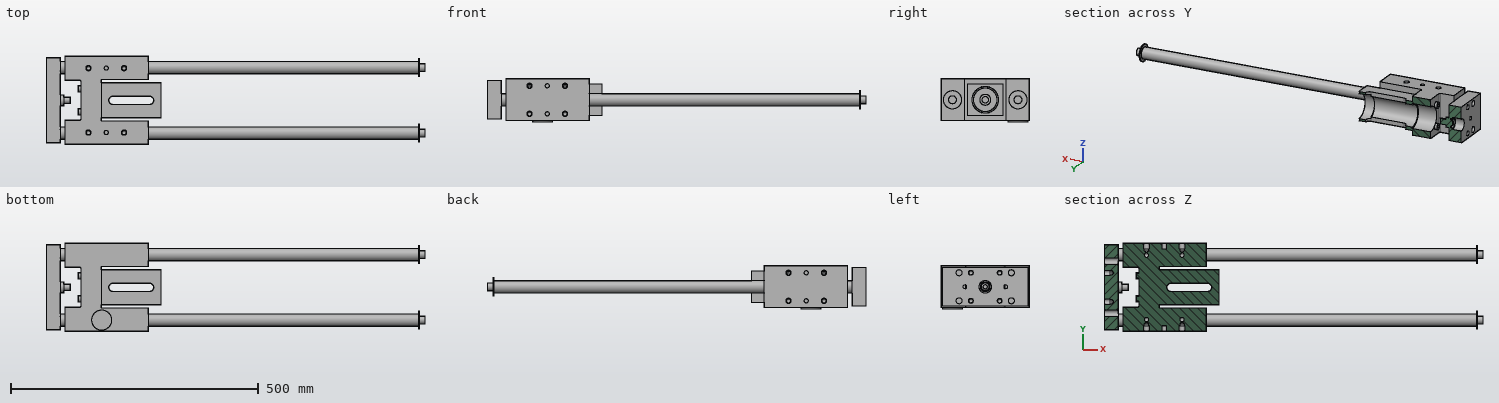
import cadquery as cq

total_length = 764.0

plate_thickness = 28.0
plate_width = 172.0
plate_height = 78.0
plate_hole_height = 28.0
clearance_diameter = 12.0
clearance_offset = 53.0
tapped_offset = 29.0
tapped_mouth = 10.0
tapped_mouth_depth = 11.5
tapped_diameter = 8.5
tapped_depth = 15.0
dowel_diameter = 8.0
dowel_offset = 41.0

counterbore_diameter = 25.0
counterbore_depth = 20.0
stud_recess_diameter = 20.0
stud_recess_depth = 4.5
stud_head_diameter = 16.0
stud_head_chamfer = 4.0
stud_diameter = 13.0
collar_diameter = 22.0
collar_length = 7.0
stud_length = 20.0

rod_diameter = 25.0
rod_spacing = 132.0
rod_tip_diameter = 16.0
rod_tip_length = 11.5
washer_diameter = 37.0
washer_thickness = 2.0

housing_start = 37.5
housing_length = 168.0
housing_width = 178.0
housing_top = 43.0
housing_bottom = -42.0
web_start = 69.5
web_end = 111.0
front_notch_width = 80.0
rear_notch_width = 83.0
notch_fillet = 2.0
bore_diameter = 53.5

hole_pitch = 36.0
hole_row_center = 121.0
top_row_spacing = 130.0
side_row_spacing = 56.5
thread_diameter = 11.0
thread_core_diameter = 8.5
thread_depth = 11.5
core_depth = 15.0
pin_hole_diameter = 8.5
pin_hole_depth = 11.5

tongue_end = 231.5
tongue_width = 71.0
tongue_height = 64.0
slot_center = 171.0
slot_length = 90.0
slot_width = 16.0
tongue_bore_diameter = 47.0
tongue_counterbore_depth = 23.0

screw_spacing = 46.5
screw_head_diameter = 13.0
screw_head_height = 5.0
socket_diameter = 6.0
socket_depth = 4.0

pad_diameter = 40.5
pad_height = 3.0
pad_center_x = 111.5

housing_end = housing_start + housing_length
rod_positions = [(-rod_spacing / 2, 0), (rod_spacing / 2, 0)]


def box(x_range, y_range, z_range):
    """Box between the given limits along each axis."""
    size = [high - low for low, high in (x_range, y_range, z_range)]
    corner = (x_range[0], y_range[0], z_range[0])
    return cq.Workplane("XY").box(*size, centered=False).translate(corner)


def cylinders_x(x_start, x_end, diameter, points=((0, 0),)):
    """Cylinders along X at the given (Y, Z) points."""
    plane = cq.Workplane("YZ", origin=(x_start, 0, 0))
    return plane.pushPoints(list(points)).circle(diameter / 2).extrude(x_end - x_start)


def corner_points(spacing_y, spacing_z):
    """The four (Y, Z) corners of a centred rectangle."""
    return [(sy * spacing_y / 2, sz * spacing_z / 2) for sy in (-1, 1) for sz in (-1, 1)]


def blind_hole(mouth_diameter, mouth_depth, core_diameter, depth):
    """Stepped blind hole along +X from the origin, ending in a 90 degree drill tip."""
    mouth = mouth_diameter / 2
    core = core_diameter / 2
    profile = [
        (0, 0),
        (0, mouth),
        (mouth_depth, mouth),
        (mouth_depth, core),
        (depth, core),
        (depth + core, 0),
    ]
    return cq.Workplane("XY").polyline(profile).close().revolve(360, (0, 0, 0), (1, 0, 0))


def make_plate():
    """Front plate with its clearance, tapped and dowel holes."""
    plate = box(
        (0, plate_thickness),
        (-plate_width / 2, plate_width / 2),
        (-plate_height / 2, plate_height / 2),
    )
    clearance_points = corner_points(2 * clearance_offset, 2 * plate_hole_height)
    plate = plate.cut(cylinders_x(0, plate_thickness, clearance_diameter, clearance_points))
    dowel_points = [(-dowel_offset, 0), (dowel_offset, 0)]
    plate = plate.cut(cylinders_x(0, plate_thickness, dowel_diameter, dowel_points))

    tapped = blind_hole(tapped_mouth, tapped_mouth_depth, tapped_diameter, tapped_depth)
    for y, z in corner_points(2 * tapped_offset, 2 * plate_hole_height):
        plate = plate.cut(tapped.translate((0, y, z)))
    return plate


def add_stud(plate):
    """Counterbore the plate and add the stud with its chamfered head and its collar."""
    recess_end = counterbore_depth + stud_recess_depth
    collar_end = plate_thickness + collar_length
    stud_end = plate_thickness + stud_length
    plate = plate.cut(cylinders_x(0, counterbore_depth, counterbore_diameter))
    plate = plate.cut(cylinders_x(counterbore_depth, recess_end, stud_recess_diameter))
    head = cylinders_x(counterbore_depth, plate_thickness, stud_head_diameter)
    head = head.faces("<X").chamfer(stud_head_chamfer)
    collar = cylinders_x(plate_thickness, collar_end, collar_diameter)
    tip = cylinders_x(collar_end, stud_end, stud_diameter)
    return plate.union(head).union(collar).union(tip)


def make_slide():
    """Plate, stud and guide rods as one moving body."""
    rod_end = total_length - rod_tip_length
    slide = add_stud(make_plate())
    slide = slide.union(cylinders_x(plate_thickness, rod_end, rod_diameter, rod_positions))
    slide = slide.union(cylinders_x(rod_end - washer_thickness, rod_end, washer_diameter, rod_positions))
    return slide.union(cylinders_x(rod_end, total_length, rod_tip_diameter, rod_positions))


def make_frame():
    """H-shaped block: two legs, a web and a notch at each end."""
    z_range = (housing_bottom, housing_top)
    block = box((housing_start, housing_end), (-housing_width / 2, housing_width / 2), z_range)
    front_notch = box((housing_start, web_start), (-front_notch_width / 2, front_notch_width / 2), z_range)
    front_notch = front_notch.edges("|Z and >X").fillet(notch_fillet)
    rear_notch = box((web_end, housing_end), (-rear_notch_width / 2, rear_notch_width / 2), z_range)
    return block.cut(front_notch).cut(rear_notch)


def make_tongue():
    """Tongue with a slot through its height, bored along X and counterbored at its free end."""
    tongue = box(
        (web_end, tongue_end),
        (-tongue_width / 2, tongue_width / 2),
        (-tongue_height / 2, tongue_height / 2),
    )
    slot = cq.Workplane("XY").center(slot_center, 0).slot2D(slot_length, slot_width)
    tongue = tongue.cut(slot.extrude(tongue_height, both=True))
    tongue = tongue.cut(cylinders_x(web_end, tongue_end, tongue_bore_diameter))
    return tongue.cut(cylinders_x(tongue_end - tongue_counterbore_depth, tongue_end, bore_diameter))


def hole_row():
    """Row of holes sunk downwards from Z = 0: two tapped holes and a pin hole between them."""
    tapped = blind_hole(thread_diameter, thread_depth, thread_core_diameter, core_depth)
    tapped = tapped.rotate((0, 0, 0), (0, 1, 0), 90)
    pin = cq.Workplane("XY").circle(pin_hole_diameter / 2).extrude(-pin_hole_depth)
    row = pin
    for offset in (-hole_pitch, hole_pitch):
        row = row.union(tapped.translate((offset, 0, 0)))
    return row.translate((hole_row_center, 0, 0))


def make_housing():
    """Frame, tongue, screw heads and pad as one fixed body."""
    housing = make_frame().union(make_tongue())
    housing = housing.cut(cylinders_x(web_start, web_end, bore_diameter))

    row = hole_row()
    side_row = row.rotate((0, 0, 0), (1, 0, 0), 90).translate((0, -housing_width / 2, 0))
    for sign in (-1, 1):
        housing = housing.cut(row.translate((0, sign * top_row_spacing / 2, housing_top)))
        side_holes = side_row.translate((0, 0, sign * side_row_spacing / 2))
        housing = housing.cut(side_holes).cut(side_holes.mirror("XZ"))

    screw_points = corner_points(screw_spacing, screw_spacing)
    head_start = web_start - screw_head_height
    heads = cylinders_x(head_start, web_start, screw_head_diameter, screw_points)
    sockets = cylinders_x(head_start, head_start + socket_depth, socket_diameter, screw_points)
    housing = housing.union(heads.cut(sockets))

    pad_plane = cq.Workplane("XY", origin=(pad_center_x, rod_spacing / 2, housing_bottom))
    housing = housing.union(pad_plane.circle(pad_diameter / 2).extrude(-pad_height))

    return housing.cut(cylinders_x(housing_start, housing_end, rod_diameter, rod_positions))


slide = make_slide()
housing = make_housing()

result = cq.Compound.makeCompound([slide.val(), housing.val()])